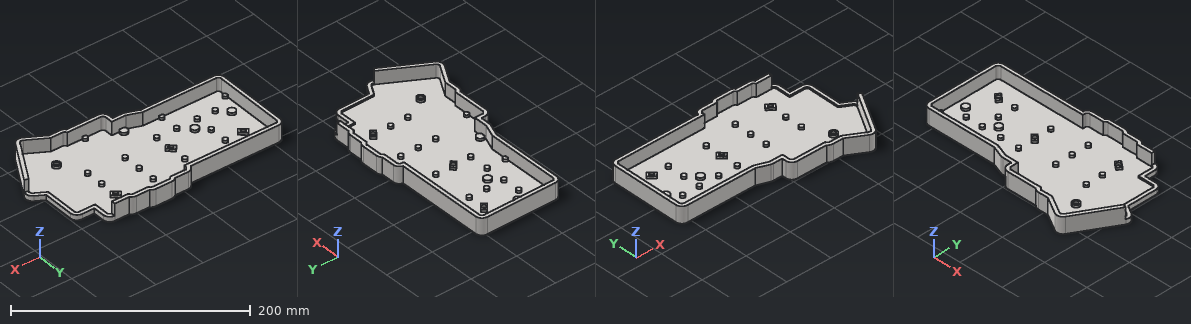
import cadquery as cq
import math


case_height = 18.1
floor_thickness = 4.0
wall_thickness = 4.0
key_clearance = 3.0
lip_height = 5.6
wall_offset = key_clearance + wall_thickness

key_pitch = 19.05
field_left = wall_offset
field_right = 202.9
main_bottom = 37.85
main_top = 112.4
slope_start_x = 85.3
slope_end_x = 99.4
slope_end_y = 32.6
inner_columns_x = 116.6
inner_columns_bottom = 21.47
thumb_row_x = 155.1
thumb_row_bottom = 19.1
upper_columns_left = 107.2
upper_columns_top = 117.65
middle_column_left = 126.1
middle_column_right = 143.0
middle_column_top = 119.85
last_column_left = 162.1
last_column_top = 115.05
last_column_right = 182.9
side_block_top = 96.3

thumb_angle = math.radians(30)
thumb_corner = (189.45, wall_offset)
thumb_length = 52.2

peg_diameter = 5.0
peg_height = 2.5
pad_diameter = 7.8
insert_hole_diameter = 4.8
insert_hole_depth = peg_height
boss_length = 9.2
boss_width = 5.6
boss_corner_radius = 1.0

column_1 = 25.15
column_2 = column_1 + key_pitch
column_3 = 65.95
column_4 = 87.05
column_5 = 125.35
column_6 = 163.45
row_low = 56.63
row_middle = row_low + key_pitch
row_high = row_middle + key_pitch
column_5_low = 62.5
column_6_low = 60.45

peg_centers = [
    (column_1, row_low),
    (column_2, row_low),
    (column_2, row_middle),
    (column_2, row_high),
    (column_3, row_low),
    (column_4, row_low),
    (column_4, row_high),
    (column_5, column_5_low),
    (column_5, column_5_low + key_pitch),
    (column_5, column_5_low + 2 * key_pitch),
    (column_6, column_6_low),
    (column_6, column_6_low + key_pitch),
    (5.8, 45.6),
    (column_3, 36.5),
    (134.65, 20.5),
]
pad_centers = [(14.95, 66.15), (54.1, 66.15), (103.1, 32.6)]
bosses_placed = [
    ((column_1, row_high), -40),
    ((column_4, row_middle), -44),
    ((column_6, column_6_low + 2 * key_pitch), -38),
]
round_boss_center = (176.7, 35.2)

thumb_start_x = thumb_corner[0] - (thumb_row_bottom - thumb_corner[1]) / math.tan(thumb_angle)
thumb_top = (
    thumb_corner[0] + thumb_length * math.sin(thumb_angle),
    thumb_corner[1] + thumb_length * math.cos(thumb_angle),
)
thumb_return = (field_right, thumb_top[1] + (thumb_top[0] - field_right) * math.tan(thumb_angle))

lip_corners = [
    thumb_top,
    thumb_return,
    (field_right, side_block_top),
    (last_column_right, side_block_top),
    (last_column_right, last_column_top),
]

key_field = [
    (field_left, main_bottom),
    (slope_start_x, main_bottom),
    (slope_end_x, slope_end_y),
    (inner_columns_x, slope_end_y),
    (inner_columns_x, inner_columns_bottom),
    (thumb_row_x, inner_columns_bottom),
    (thumb_row_x, thumb_row_bottom),
    (thumb_start_x, thumb_row_bottom),
    thumb_corner,
    *lip_corners,
    (last_column_left, last_column_top),
    (last_column_left, upper_columns_top),
    (middle_column_right, upper_columns_top),
    (middle_column_right, middle_column_top),
    (middle_column_left, middle_column_top),
    (middle_column_left, upper_columns_top),
    (upper_columns_left, upper_columns_top),
    (upper_columns_left, main_top),
    (field_left, main_top),
]


def offset_field(distance, base_z, height):
    """Key field grown by distance with round outside corners, extruded up from base_z."""
    outline = cq.Workplane("XY").workplane(offset=base_z).polyline(key_field).close()
    return outline.offset2D(distance, "arc").extrude(height)


def make_tray():
    body = offset_field(wall_offset, 0, case_height)
    cavity = offset_field(key_clearance, floor_thickness, case_height)
    return body.cut(cavity)


def make_lip_cutter():
    """Space above the low lip, ending square to the wall at both ends."""
    reach = 3 * wall_offset
    beyond_thumb = (
        thumb_top[0] + reach * math.cos(thumb_angle),
        thumb_top[1] - reach * math.sin(thumb_angle),
    )
    outside_top = last_column_top + reach
    corners = [
        *lip_corners,
        (last_column_right, outside_top),
        (beyond_thumb[0], outside_top),
        beyond_thumb,
    ]
    sketch = cq.Workplane("XY").workplane(offset=lip_height).polyline(corners).close()
    return sketch.extrude(case_height)


def on_floor(centers):
    return cq.Workplane("XY").workplane(offset=floor_thickness).pushPoints(centers)


def make_cylinders(centers, diameter):
    return on_floor(centers).circle(diameter / 2).extrude(peg_height)


def make_insert_bosses():
    """Turned rectangular bosses and one round boss, each to be bored for an insert."""
    bosses = cq.Workplane("XY")
    block = cq.Workplane("XY").rect(boss_length, boss_width).extrude(peg_height)
    block = block.edges("|Z").fillet(boss_corner_radius)
    for center, angle in bosses_placed:
        turned = block.rotate((0, 0, 0), (0, 0, 1), angle)
        bosses = bosses.add(turned.translate((*center, floor_thickness)))
    return bosses.add(make_cylinders([round_boss_center], pad_diameter)).combine()


def make_insert_holes():
    top_z = floor_thickness + peg_height
    centers = [center for center, angle in bosses_placed]
    holes = cq.Workplane("XY").workplane(offset=top_z)
    holes = holes.pushPoints([*centers, round_boss_center])
    return holes.circle(insert_hole_diameter / 2).extrude(-insert_hole_depth)


result = make_tray().cut(make_lip_cutter())
result = result.union(make_cylinders(peg_centers, peg_diameter))
result = result.union(make_cylinders(pad_centers, pad_diameter))
result = result.union(make_insert_bosses())
result = result.cut(make_insert_holes())